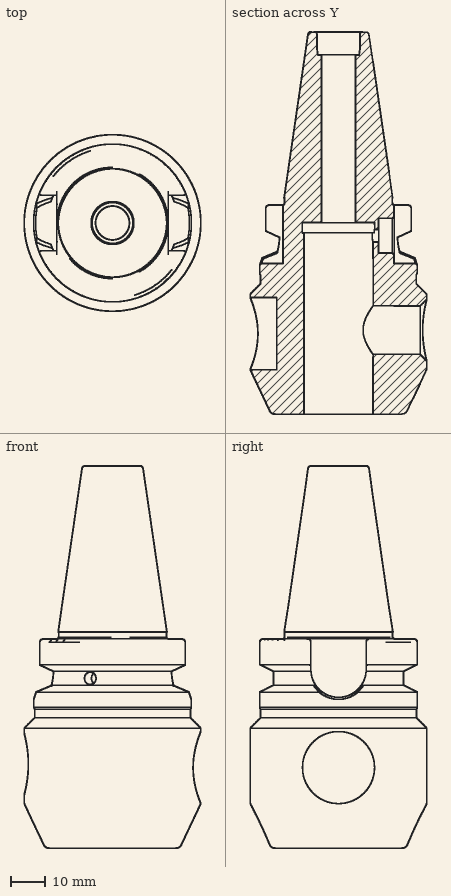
import cadquery as cq
import math


gauge_dia = 31.75
taper_length = 48.4
taper_rate = 7 / 24
taper_tip_fillet = 1.0
neck_dia = 31.49
neck_fillet = 0.5

flange_dia = 46.0
flange_top = -2.0
flange_bottom = -22.0
flange_edge_fillet = 1.0
groove_dia = 38.0
groove_center = -13.5
groove_floor_width = 4.0
groove_mouth_width = 8.0

collar_dia = 45.5
collar_step_height = 0.5
collar_bottom = -25.0
body_dia = 51.5
nose_end = -63.0
nose_cone_top = -50.0
nose_face_dia = 39.2
body_blend_radius = 1.6
nose_edge_fillet = 1.7

slot_width = 16.1
slot_floor_x = 16.2
slot_end_center = -11.0
slot_corner_fillet = 0.65
slot_rim_chamfer = 0.6

stud_mouth_dia = 14.0
stud_pilot_dia = 12.5
stud_pilot_depth = 4.8
stud_seat_dia = 11.9
stud_seat_depth = 6.75
through_dia = 9.8
shank_dia = 20.0
shank_bore_top = -10.2
relief_dia = 21.0
relief_length = 3.0

seat_dia = 10.05
seat_mouth_dia = 11.1
seat_depth = 4.5
vent_dia = 3.6

groove_hole_dia = 3.6
groove_hole_angle = 250.0
groove_hole_depth = 6.0

screw_dia = 14.0
screw_mouth_dia = 18.0
screw_z = -38.5
pocket_dia = 21.0
pocket_z = -39.5
pocket_floor_x = 18.0

gauge_r = gauge_dia / 2
neck_r = neck_dia / 2
flange_r = flange_dia / 2
groove_r = groove_dia / 2
collar_r = collar_dia / 2
body_r = body_dia / 2
slot_half = slot_width / 2
groove_top_z = groove_center + groove_mouth_width / 2
groove_bottom_z = groove_center - groove_mouth_width / 2
groove_floor_high_z = groove_center + groove_floor_width / 2
groove_floor_low_z = groove_center - groove_floor_width / 2


def edges_at_height(z):
    """Selector box around all edges of the holder at one height."""
    reach = body_dia
    tolerance = 0.01
    return cq.selectors.BoxSelector(
        (-reach, -reach, z - tolerance), (reach, reach, z + tolerance), boundingbox=True
    )


def make_body():
    tip_r = gauge_r - taper_length * taper_rate / 2
    body_top = collar_bottom - (body_r - collar_r)
    outline = [
        (0, taper_length),
        (tip_r, taper_length),
        (gauge_r, 0),
        (neck_r, -(gauge_r - neck_r)),
        (neck_r, flange_top),
        (flange_r, flange_top),
        (flange_r, groove_top_z),
        (groove_r, groove_floor_high_z),
        (groove_r, groove_floor_low_z),
        (flange_r, groove_bottom_z),
        (flange_r, flange_bottom),
        (collar_r, flange_bottom - collar_step_height),
        (collar_r, collar_bottom),
        (body_r, body_top),
        (body_r, nose_cone_top),
        (nose_face_dia / 2, nose_end),
        (0, nose_end),
    ]
    body = cq.Workplane("XZ").polyline(outline).close().revolve(360, (0, 0, 0), (0, 1, 0))
    body = body.edges(edges_at_height(taper_length)).fillet(taper_tip_fillet)
    body = body.edges(edges_at_height(nose_cone_top)).fillet(body_blend_radius)
    body = body.edges(edges_at_height(nose_end)).fillet(nose_edge_fillet)
    neck_corner = edges_at_height(flange_top)
    return body.edges(neck_corner).edges(cq.selectors.RadiusNthSelector(0)).fillet(neck_fillet)


def x_cylinder(dia, z, x_start, x_end):
    length = x_end - x_start
    return cq.Workplane("YZ", origin=(x_start, 0, z)).circle(dia / 2).extrude(length)


def x_cone(x_small, r_small, x_large, r_large, z):
    """Cone along X, growing from the small radius to the large one."""
    direction = cq.Vector(x_large - x_small, 0, 0)
    base = cq.Vector(x_small, 0, z)
    return cq.Workplane(cq.Solid.makeCone(r_small, r_large, direction.Length, base, direction))


def drive_slot(side):
    """U-shaped slot, open at the flange top and outward on the given X side."""
    slot_length = body_r - slot_floor_x
    straight_height = flange_top - slot_end_center
    return (
        cq.Workplane("YZ", origin=(side * slot_floor_x, 0, slot_end_center))
        .moveTo(-slot_half, straight_height)
        .lineTo(-slot_half, 0)
        .threePointArc((0, -slot_half), (slot_half, 0))
        .lineTo(slot_half, straight_height)
        .close()
        .extrude(side * slot_length)
    )


def axial_bore():
    relief_top = shank_bore_top + relief_length
    mouth_r = stud_mouth_dia / 2
    pilot_r = stud_pilot_dia / 2
    mouth_round = mouth_r - pilot_r
    pilot_end = taper_length - stud_pilot_depth
    seat_z = taper_length - stud_seat_depth
    return (
        cq.Workplane("XZ")
        .moveTo(0, taper_length)
        .lineTo(mouth_r, taper_length)
        .radiusArc((pilot_r, taper_length - mouth_round), -mouth_round)
        .lineTo(pilot_r, pilot_end)
        .lineTo(stud_seat_dia / 2, seat_z)
        .lineTo(through_dia / 2, seat_z)
        .lineTo(through_dia / 2, relief_top)
        .lineTo(relief_dia / 2, relief_top)
        .lineTo(relief_dia / 2, shank_bore_top)
        .lineTo(shank_dia / 2, shank_bore_top)
        .lineTo(shank_dia / 2, nose_end)
        .lineTo(0, nose_end)
        .close()
        .revolve(360, (0, 0, 0), (0, 1, 0))
    )


def slot_seat():
    mouth_depth = (seat_mouth_dia - seat_dia) / 2
    seat = x_cylinder(seat_dia, slot_end_center, -slot_floor_x, -slot_floor_x + seat_depth)
    mouth = x_cone(
        -slot_floor_x + mouth_depth, seat_dia / 2, -slot_floor_x, seat_mouth_dia / 2, slot_end_center
    )
    vent = x_cylinder(vent_dia, slot_end_center, -slot_floor_x, 0)
    return seat.union(mouth).union(vent)


def groove_hole():
    hole = x_cylinder(groove_hole_dia, groove_center, groove_r - groove_hole_depth, flange_r)
    return hole.rotate((0, 0, 0), (0, 0, 1), groove_hole_angle)


def screw_hole():
    mouth_depth = (screw_mouth_dia - screw_dia) / 2
    hole = x_cylinder(screw_dia, screw_z, -body_r, 0)
    mouth = x_cone(-body_r + mouth_depth, screw_dia / 2, -body_r, screw_mouth_dia / 2, screw_z)
    return hole.union(mouth)


def balancing_pocket():
    return x_cylinder(pocket_dia, pocket_z, pocket_floor_x, body_dia)


def fillet_slot_corners(flanged):
    """Round the upright corners where the slot walls meet the upper flange."""
    corner_x = math.sqrt(flange_r**2 - slot_half**2)
    corner_z = (flange_top + groove_top_z) / 2
    for x in (-corner_x, corner_x):
        for y in (-slot_half, slot_half):
            corner = cq.selectors.NearestToPointSelector((x, y, corner_z))
            flanged = flanged.edges(corner).fillet(slot_corner_fillet)
    return flanged


def fillet_flange_top(flanged):
    """Round the upper rim and the top edges of the slot walls and corners."""
    top_edges = flanged.edges(edges_at_height(flange_top))
    rim = top_edges.edges(cq.selectors.RadiusNthSelector(-1))
    wall_tops = top_edges.edges("%LINE").edges("not |Y")
    return rim.add(wall_tops).fillet(flange_edge_fillet)


def chamfer_slot_ends(flanged):
    """Bevel the curved rims that the slot ends leave on the lower flange."""
    lower_flange = cq.selectors.BoxSelector(
        (-flange_r, -slot_half, flange_bottom), (flange_r, slot_half, groove_floor_low_z)
    )
    return flanged.edges(lower_flange).edges("%BSPLINE").chamfer(slot_rim_chamfer)


holder = make_body()
for side in (-1, 1):
    holder = holder.cut(drive_slot(side))
holder = fillet_slot_corners(holder)
holder = fillet_flange_top(holder)
holder = chamfer_slot_ends(holder)
holder = holder.cut(axial_bore()).cut(slot_seat()).cut(groove_hole())
result = holder.cut(screw_hole()).cut(balancing_pocket())